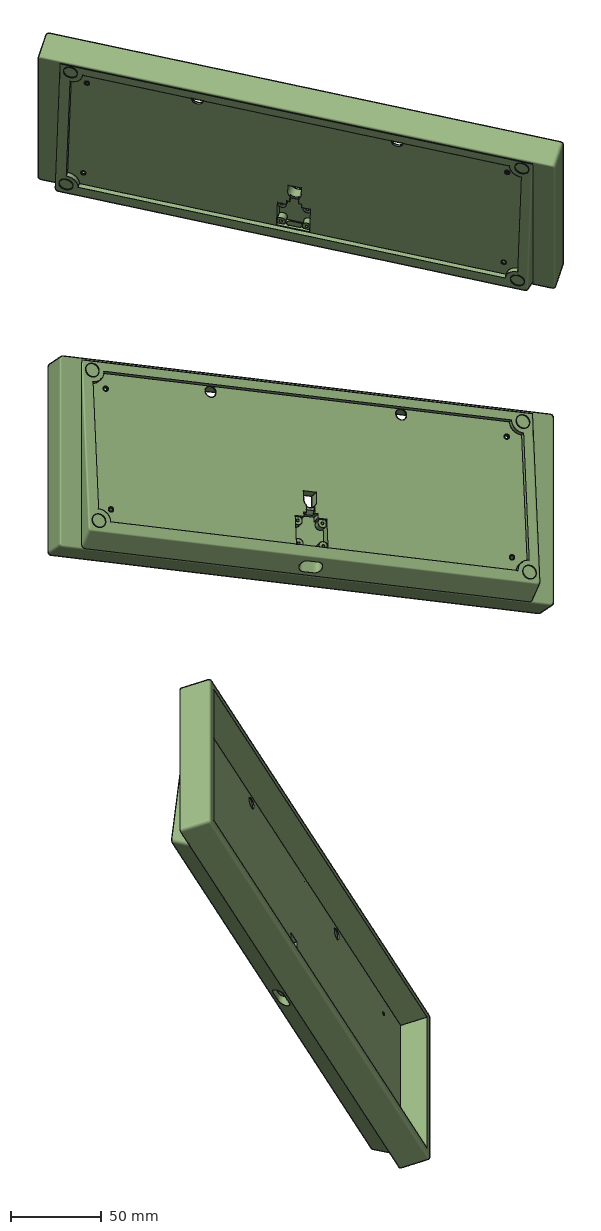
import cadquery as cq
import math

length = 295.7
height = 110.3
total_depth = 29.5
tray_depth = 18.5
tray_wall = 5.0
tray_front_wall = 2.7
tray_corner_radius = 2.0
back_edge_radius = 1.5
edge_radius = 1.0

wedge_width = 270.3
wedge_height_limit = 107.5
tilt = math.radians(6.0)
lower_face_angle = math.radians(33.0)
nose_z = -47.3
lower_corner_radius = 2.0
wedge_overlap = 1.0

panel_width = 257.9
panel_top = 48.8
panel_bottom = -40.8
panel_depth = 3.0
foot_diameter = 8.0
foot_depth = 0.5
foot_margin = 3.0

hang_hole_diameter = 6.5
hang_hole_x = 57.0
screw_x = 120.0
screw_heights = (40.0, -32.0)
screw_head_diameter = 3.0
screw_head_depth = 0.5
screw_hole_diameter = 2.0
screw_hole_depth = 4.7

recess_width = 19.0
recess_top = -22.5
recess_bottom = -40.2
recess_depth = 5.5
post_diameter = 5.3
post_inset = 2.0
post_drop = 1.5
post_hole_diameter = 1.57
post_hole_depth = 3.0

cable_width = 7.7
cable_top = -7.0
cable_arc_centre = -12.5
neck_width = 8.5
neck_top = -19.8
channel_width = 5.0
channel_depth = 1.2
ramp_length = 2.0

port_width = 9.0
port_height = 3.3
plug_width = 13.5
plug_height = 7.0
plug_floor = -43.8
port_sink = 3.3

overshoot = 0.3
cut_through = 2 * total_depth

lower_normal_angle = math.pi / 2 - lower_face_angle
corner_ratio = math.cos((lower_normal_angle - tilt) / 2) / math.cos((lower_normal_angle + tilt) / 2)
nose_trim = edge_radius * (corner_ratio - 1)
wedge_reach = total_depth - tray_depth + nose_trim

tilted_plane = cq.Plane(
    origin=(0, -wedge_reach - nose_z * math.tan(tilt), 0),
    xDir=(1, 0, 0),
    normal=(0, -math.cos(tilt), math.sin(tilt)),
)

foot_places = [(side * panel_width / 2, end) for side in (-1, 1) for end in (panel_bottom, panel_top)]
screw_places = [(side * screw_x, climb) for side in (-1, 1) for climb in screw_heights]
hang_places = [(side * hang_hole_x, panel_top - hang_hole_diameter / 2) for side in (-1, 1)]
post_places = [
    (side * (recess_width / 2 - post_inset), climb)
    for side in (-1, 1)
    for climb in (recess_bottom + post_inset, recess_top - post_inset)
]


def at_depth(depth):
    """Workplane parallel to the tilted face, the given depth below it."""
    return cq.Workplane(tilted_plane).workplane(offset=-depth)


def sunk_block(width, bottom, top, start_depth, end_depth):
    """Centred rectangular block between two depths below the tilted face."""
    sketch = at_depth(start_depth).center(0, (bottom + top) / 2).rect(width, top - bottom)
    return sketch.extrude(start_depth - end_depth)


def sunk_cylinders(places, diameter, start_depth, end_depth):
    """Cylinders square to the tilted face, between two depths below it."""
    sketch = at_depth(start_depth).pushPoints(places).circle(diameter / 2)
    return sketch.extrude(start_depth - end_depth)


def make_tray():
    tray = cq.Workplane("XZ").rect(length, height).extrude(-tray_depth)
    tray = tray.edges("|Y").fillet(tray_corner_radius)
    tray = tray.faces("<Y").edges().fillet(edge_radius)
    return tray.faces(">Y").edges().fillet(back_edge_radius)


def make_cavity():
    return (
        cq.Workplane("XZ", origin=(0, tray_front_wall, 0))
        .rect(length - 2 * tray_wall, height - 2 * tray_wall)
        .extrude(-tray_depth)
    )


def make_wedge():
    profile_depth = wedge_reach + wedge_overlap
    tip_z = nose_z + profile_depth / math.tan(tilt)
    foot_z = nose_z - profile_depth * math.tan(lower_face_angle)
    wedge = (
        cq.Workplane("YZ")
        .moveTo(-wedge_reach, nose_z)
        .lineTo(wedge_overlap, tip_z)
        .lineTo(wedge_overlap, foot_z)
        .close()
        .extrude(wedge_width / 2, both=True)
    )
    lower_side_edges = cq.selectors.BoxSelector(
        (-length, -wedge_reach, foot_z), (length, 0, nose_z - overshoot)
    )
    wedge = wedge.edges(lower_side_edges).fillet(lower_corner_radius)
    tilted_face_edges = cq.selectors.BoxSelector(
        (-length, -wedge_reach - overshoot, nose_z - overshoot), (length, 0, tip_z)
    )
    wedge = wedge.edges(tilted_face_edges).fillet(edge_radius)

    trim_top = wedge_height_limit / 2
    trim = cq.Workplane("XY", origin=(0, 0, trim_top)).rect(length, cut_through).extrude(-height)
    return wedge.intersect(trim)


def make_panel():
    panel = sunk_block(panel_width, panel_bottom, panel_top, -overshoot, panel_depth)
    notch_diameter = foot_diameter + 2 * foot_margin
    return panel.cut(sunk_cylinders(foot_places, notch_diameter, -overshoot, panel_depth))


def make_screw_holes():
    heads = sunk_cylinders(
        screw_places, screw_head_diameter, panel_depth - overshoot, panel_depth + screw_head_depth
    )
    shanks = sunk_cylinders(
        screw_places, screw_hole_diameter, panel_depth, panel_depth + screw_hole_depth
    )
    return heads.union(shanks)


def make_recess():
    top_depth = panel_depth - overshoot
    floor_depth = panel_depth + recess_depth
    post_top = panel_depth + post_drop
    recess = sunk_block(recess_width, recess_bottom, recess_top, top_depth, floor_depth)
    recess = recess.cut(sunk_cylinders(post_places, post_diameter, post_top, floor_depth))
    neck = sunk_block(neck_width, recess_top - overshoot, neck_top, top_depth, floor_depth)
    post_holes = sunk_cylinders(
        post_places, post_hole_diameter, post_top, post_top + post_hole_depth
    )
    return recess.union(neck).union(post_holes)


def make_cable_opening():
    half_width = cable_width / 2
    return (
        at_depth(panel_depth - overshoot)
        .moveTo(-half_width, cable_arc_centre)
        .lineTo(-half_width, cable_top)
        .lineTo(half_width, cable_top)
        .lineTo(half_width, cable_arc_centre)
        .threePointArc((0, cable_arc_centre - half_width), (-half_width, cable_arc_centre))
        .close()
        .extrude(-cut_through)
    )


def make_cable_channel():
    side_plane = cq.Plane(origin=tilted_plane.origin, xDir=tilted_plane.yDir, normal=(1, 0, 0))
    top_level = overshoot - panel_depth
    shallow_level = -panel_depth - channel_depth
    deep_level = shallow_level - ramp_length
    channel_end = neck_top - overshoot
    return (
        cq.Workplane(side_plane)
        .moveTo(cable_arc_centre, top_level)
        .lineTo(cable_arc_centre, shallow_level)
        .lineTo(neck_top + ramp_length, shallow_level)
        .lineTo(neck_top, deep_level)
        .lineTo(channel_end, deep_level)
        .lineTo(channel_end, top_level)
        .close()
        .extrude(channel_width / 2, both=True)
    )


def make_port_slot(slot_width, slot_height, start):
    """Round-ended slot that runs down along the tilted face and out of the lower face."""
    start_point = tilted_plane.toWorldCoords((0, start, -panel_depth - port_sink))
    slot_plane = cq.Plane(origin=start_point, xDir=(1, 0, 0), normal=-tilted_plane.yDir)
    return cq.Workplane(slot_plane).slot2D(slot_width, slot_height).extrude(cut_through)


result = (
    make_tray()
    .union(make_wedge())
    .cut(make_cavity())
    .cut(make_panel())
    .cut(sunk_cylinders(foot_places, foot_diameter, -overshoot, foot_depth))
    .cut(sunk_cylinders(hang_places, hang_hole_diameter, panel_depth - overshoot, cut_through))
    .cut(make_screw_holes())
    .cut(make_recess())
    .cut(make_cable_opening())
    .cut(make_cable_channel())
    .cut(make_port_slot(port_width, port_height, recess_bottom + overshoot))
    .cut(make_port_slot(plug_width, plug_height, plug_floor))
)